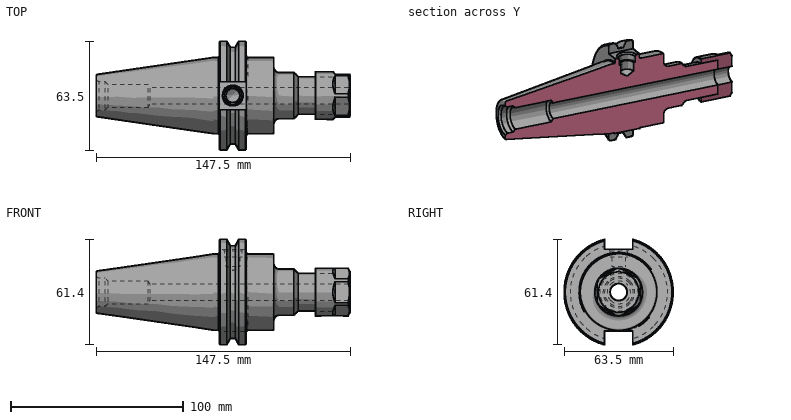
import cadquery as cq
import math


GAUGE_R = 44.45 / 2
TAPER_LENGTH = 68.25
TAPER_RATIO = 7 / 24
SHANK_END_R = GAUGE_R - TAPER_LENGTH * TAPER_RATIO / 2
SHANK_FILLET = 1.1

FLANGE_R = 63.5 / 2
FLANGE_START = 3.18
FLANGE_END = 19.05
FLANGE_MID = (FLANGE_START + FLANGE_END) / 2
FLANGE_CHAMFER = 0.8
FLANGE_FRONT_FILLET = 0.5
FLANGE_REAR_FILLET = 0.8

GROOVE_R = 56.36 / 2
GROOVE_FLOOR_WIDTH = 2.9
GROOVE_WALL_ANGLE = 30

SLOT_WIDTH = 16.3
TOP_SLOT_FLOOR = 25.0
BOTTOM_SLOT_FLOOR = 22.6

SIDE_HOLE_MOUTH_R = 12.04 / 2
SIDE_HOLE_R = 10.13 / 2
SIDE_HOLE_FLOOR = 20.5
SIDE_DRILL_R = 8 / 2
SIDE_DRILL_END = 15.0
DRILL_POINT_ANGLE = 118

COLLAR_END = 35.0
COLLAR_FILLET = 0.9
LARGE_NECK_R = 27 / 2
NECK_FILLET = 3.0
SMALL_NECK_START = 49.1
SMALL_NECK_R = 22 / 2
HOLDER_END = 70.0

MOUTH_R = 18.2 / 2
PILOT_R = 16.46 / 2
PILOT_END = 5.1
TAPPED_R = 13.39 / 2
TAPPED_END = 30.0
BORE_R = 9.73 / 2
MOUTH_CONE_ANGLE = 30
PILOT_CONE_ANGLE = 45
TAPPED_CONE_ANGLE = DRILL_POINT_ANGLE / 2

NUT_START = 58.9
NUT_END = 147.51 - TAPER_LENGTH
NUT_R = 27.8 / 2
NUT_REAR_CHAMFER = 0.4
NUT_FACE_R = 23.5 / 2
NUT_FACE_ANGLE = 30
FLAT_COUNT = 6
FLAT_DISTANCE = 25 / 2
FLAT_START = 70.6
FLAT_MARGIN = 1.0


def tangent(degrees):
    return math.tan(math.radians(degrees))


def revolve_about_x(profile):
    return profile.close().revolve(360, (0, 0, 0), (1, 0, 0))


def holder_blank():
    taper_slope = TAPER_RATIO / 2
    shank_fillet_end = -TAPER_LENGTH + SHANK_FILLET
    groove_floor_half = GROOVE_FLOOR_WIDTH / 2
    groove_top_half = groove_floor_half + (FLANGE_R - GROOVE_R) * tangent(GROOVE_WALL_ANGLE)
    large_neck_end = SMALL_NECK_START - (LARGE_NECK_R - SMALL_NECK_R)
    profile = (
        cq.Workplane("XY")
        .moveTo(-TAPER_LENGTH, 0)
        .lineTo(-TAPER_LENGTH, SHANK_END_R - SHANK_FILLET)
        .radiusArc((shank_fillet_end, SHANK_END_R + SHANK_FILLET * taper_slope), SHANK_FILLET)
        .lineTo(0, GAUGE_R)
        .lineTo(FLANGE_START - FLANGE_FRONT_FILLET, GAUGE_R)
        .radiusArc((FLANGE_START, GAUGE_R + FLANGE_FRONT_FILLET), -FLANGE_FRONT_FILLET)
        .lineTo(FLANGE_START, FLANGE_R - FLANGE_CHAMFER)
        .lineTo(FLANGE_START + FLANGE_CHAMFER, FLANGE_R)
        .lineTo(FLANGE_MID - groove_top_half, FLANGE_R)
        .lineTo(FLANGE_MID - groove_floor_half, GROOVE_R)
        .lineTo(FLANGE_MID + groove_floor_half, GROOVE_R)
        .lineTo(FLANGE_MID + groove_top_half, FLANGE_R)
        .lineTo(FLANGE_END - FLANGE_CHAMFER, FLANGE_R)
        .lineTo(FLANGE_END, FLANGE_R - FLANGE_CHAMFER)
        .lineTo(FLANGE_END, GAUGE_R + FLANGE_REAR_FILLET)
        .radiusArc((FLANGE_END + FLANGE_REAR_FILLET, GAUGE_R), -FLANGE_REAR_FILLET)
        .lineTo(COLLAR_END - COLLAR_FILLET, GAUGE_R)
        .radiusArc((COLLAR_END, GAUGE_R - COLLAR_FILLET), COLLAR_FILLET)
        .lineTo(COLLAR_END, LARGE_NECK_R + NECK_FILLET)
        .radiusArc((COLLAR_END + NECK_FILLET, LARGE_NECK_R), -NECK_FILLET)
        .lineTo(large_neck_end, LARGE_NECK_R)
        .lineTo(SMALL_NECK_START, SMALL_NECK_R)
        .lineTo(HOLDER_END, SMALL_NECK_R)
        .lineTo(HOLDER_END, 0)
    )
    return revolve_about_x(profile)


def holder_bore():
    mouth_end = (MOUTH_R - PILOT_R) / tangent(MOUTH_CONE_ANGLE)
    tapped_start = PILOT_END + (PILOT_R - TAPPED_R) / tangent(PILOT_CONE_ANGLE)
    bore_start = TAPPED_END + (TAPPED_R - BORE_R) / tangent(TAPPED_CONE_ANGLE)
    profile = (
        cq.Workplane("XY", origin=(-TAPER_LENGTH, 0, 0))
        .lineTo(0, MOUTH_R)
        .lineTo(mouth_end, PILOT_R)
        .lineTo(PILOT_END, PILOT_R)
        .lineTo(tapped_start, TAPPED_R)
        .lineTo(TAPPED_END, TAPPED_R)
        .lineTo(bore_start, BORE_R)
        .lineTo(TAPER_LENGTH + HOLDER_END, BORE_R)
        .lineTo(TAPER_LENGTH + HOLDER_END, 0)
    )
    return revolve_about_x(profile)


def drive_slot(floor, side):
    """Slot along X; side is +1 for the top of the flange and -1 for the bottom."""
    length = FLANGE_END + FLANGE_REAR_FILLET - (FLANGE_START - FLANGE_FRONT_FILLET)
    height = FLANGE_R - floor
    middle = (floor + FLANGE_R) / 2
    return cq.Workplane("XY").box(length, SLOT_WIDTH, height).translate((FLANGE_MID, 0, side * middle))


def side_hole():
    countersink_end = TOP_SLOT_FLOOR - (SIDE_HOLE_MOUTH_R - SIDE_HOLE_R)
    drill_tip = SIDE_DRILL_END - SIDE_DRILL_R / tangent(DRILL_POINT_ANGLE / 2)
    return (
        cq.Workplane("XZ", origin=(FLANGE_MID, 0, 0))
        .moveTo(0, TOP_SLOT_FLOOR)
        .lineTo(SIDE_HOLE_MOUTH_R, TOP_SLOT_FLOOR)
        .lineTo(SIDE_HOLE_R, countersink_end)
        .lineTo(SIDE_HOLE_R, SIDE_HOLE_FLOOR)
        .lineTo(SIDE_DRILL_R, SIDE_HOLE_FLOOR)
        .lineTo(SIDE_DRILL_R, SIDE_DRILL_END)
        .lineTo(0, drill_tip)
        .close()
        .revolve(360, (0, 0, 0), (0, 1, 0))
    )


def make_holder():
    return (
        holder_blank()
        .cut(holder_bore())
        .cut(drive_slot(TOP_SLOT_FLOOR, 1))
        .cut(drive_slot(BOTTOM_SLOT_FLOOR, -1))
        .cut(side_hole())
    )


def nut_blank():
    """Turned nut with a recess that takes the end of the holder."""
    face_chamfer_length = (NUT_R - NUT_FACE_R) * tangent(NUT_FACE_ANGLE)
    profile = (
        cq.Workplane("XY")
        .moveTo(NUT_START, SMALL_NECK_R)
        .lineTo(NUT_START, NUT_R - NUT_REAR_CHAMFER)
        .lineTo(NUT_START + NUT_REAR_CHAMFER, NUT_R)
        .lineTo(NUT_END - face_chamfer_length, NUT_R)
        .lineTo(NUT_END, NUT_FACE_R)
        .lineTo(NUT_END, BORE_R)
        .lineTo(HOLDER_END, BORE_R)
        .lineTo(HOLDER_END, SMALL_NECK_R)
    )
    return revolve_about_x(profile)


def flat_cutter():
    """Cutter for the +Y wrench flat, with a 45 degree run-out at its rear end."""
    outer = NUT_R + FLAT_MARGIN
    return (
        cq.Workplane("XY")
        .moveTo(FLAT_START, FLAT_DISTANCE)
        .lineTo(NUT_END + FLAT_MARGIN, FLAT_DISTANCE)
        .lineTo(NUT_END + FLAT_MARGIN, outer)
        .lineTo(FLAT_START - (outer - FLAT_DISTANCE), outer)
        .close()
        .extrude(NUT_R, both=True)
    )


def make_nut():
    nut = nut_blank()
    for index in range(FLAT_COUNT):
        angle = index * 360 / FLAT_COUNT
        nut = nut.cut(flat_cutter().rotate((0, 0, 0), (1, 0, 0), angle))
    return nut


holder = make_holder()
nut = make_nut()

result = cq.Compound.makeCompound([holder.val(), nut.val()])